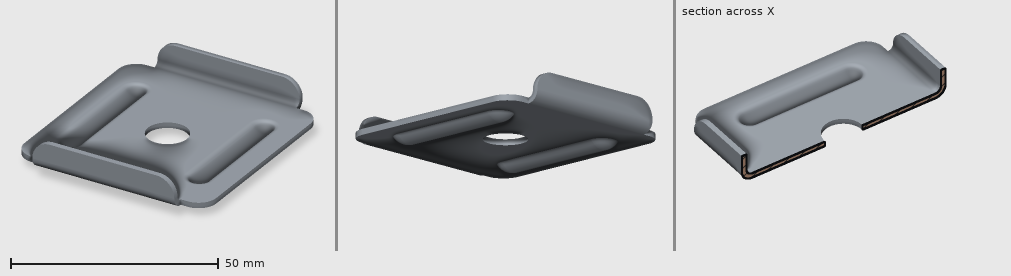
import cadquery as cq
import math

thickness = 1.5
plate_side = 54.0
corner_radius = 5.0
hole_diameter = 11.0

overall_length = 60.0
flange_width = 39.95
flange_height = 8.05
bend_outer_radius = (overall_length - plate_side) / 2
bend_inner_radius = bend_outer_radius - thickness

rib_offset = 18.0
rib_straight_length = 30.0
rib_depth = 2.0
rib_outer_radius = 4.7
rib_inner_radius = rib_outer_radius - thickness
rib_axis_height = rib_outer_radius - rib_depth
rib_half_width = math.sqrt(rib_outer_radius**2 - rib_axis_height**2)

lip_radius = 1.7
lip_center_height = thickness - lip_radius
lip_drop = rib_axis_height - lip_center_height
groove_half_width = math.sqrt((rib_inner_radius + lip_radius) ** 2 - lip_drop**2)


def point_on_arc(center, radius, degrees):
    angle = math.radians(degrees)
    return (center[0] + radius * math.cos(angle), center[1] + radius * math.sin(angle))


def make_plate():
    plate = cq.Workplane("XY").rect(plate_side, plate_side).extrude(thickness)
    return plate.edges("|Z").fillet(corner_radius)


def make_flange():
    """Flange on the +Y side: a bent strip with rounded upper corners."""
    bend_start = plate_side / 2
    outer_face = overall_length / 2
    inner_face = outer_face - thickness
    bend_center = (bend_start, bend_outer_radius)
    strip = (
        cq.Workplane("YZ")
        .moveTo(bend_start, 0)
        .threePointArc(
            point_on_arc(bend_center, bend_outer_radius, -45), (outer_face, bend_outer_radius)
        )
        .lineTo(outer_face, flange_height)
        .lineTo(inner_face, flange_height)
        .lineTo(inner_face, bend_outer_radius)
        .threePointArc(
            point_on_arc(bend_center, bend_inner_radius, -45), (bend_start, thickness)
        )
        .close()
        .extrude(flange_width / 2, both=True)
    )
    return strip.edges("|Y and >Z").fillet(corner_radius)


def bulge_half_profile():
    """Half section of the pressed metal, from the plate top to the rib bottom."""
    edge_angle = math.degrees(math.atan2(-rib_axis_height, rib_half_width))
    arc_middle = point_on_arc((0, rib_axis_height), rib_outer_radius, (edge_angle - 90) / 2)
    return (
        cq.Workplane("XZ")
        .moveTo(0, thickness)
        .lineTo(0, -rib_depth)
        .threePointArc(arc_middle, (rib_half_width, 0))
        .lineTo(rib_half_width, thickness)
        .close()
    )


def groove_half_profile():
    """Half section of the groove: a round bottom flowing into a rounded lip."""
    axis = (0, rib_axis_height)
    lip_center = (groove_half_width, lip_center_height)
    edge_angle = math.degrees(math.atan2(-lip_drop, groove_half_width))
    bottom_middle = point_on_arc(axis, rib_inner_radius, (edge_angle - 90) / 2)
    tangent_point = point_on_arc(axis, rib_inner_radius, edge_angle)
    lip_middle = point_on_arc(lip_center, lip_radius, (edge_angle + 180 + 90) / 2)
    return (
        cq.Workplane("XZ")
        .moveTo(0, thickness)
        .lineTo(0, thickness - rib_depth)
        .threePointArc(bottom_middle, tangent_point)
        .threePointArc(lip_middle, (groove_half_width, thickness))
        .close()
    )


def stretch_with_round_ends(half_profile):
    """Run a half section along Y on both sides and revolve it at each end."""
    straight_half = half_profile().extrude(rib_straight_length / 2, both=True)
    body = straight_half.union(straight_half.mirror("YZ")).clean()
    round_end = half_profile().revolve(360, (0, 0, 0), (0, 1, 0))
    for side in (-1, 1):
        body = body.union(round_end.translate((0, side * rib_straight_length / 2, 0)))
    return body


flange = make_flange()
result = make_plate().union(flange).union(flange.mirror("XZ"))

bulge = stretch_with_round_ends(bulge_half_profile)
groove = stretch_with_round_ends(groove_half_profile)
for rib_x in (-rib_offset, rib_offset):
    result = result.union(bulge.translate((rib_x, 0, 0)))
    result = result.cut(groove.translate((rib_x, 0, 0)))

center_hole = cq.Workplane("XY").circle(hole_diameter / 2).extrude(thickness)
result = result.cut(center_hole).clean()